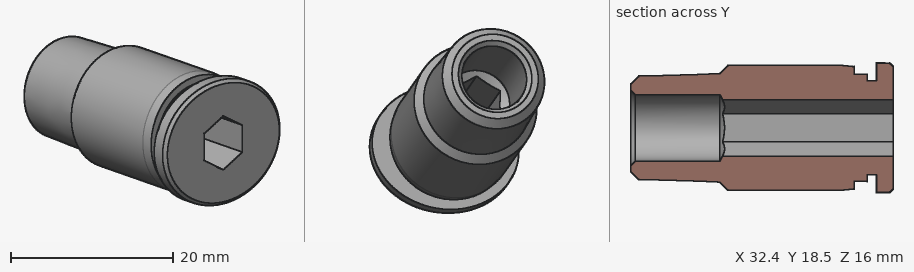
import cadquery as cq

total_length = 32.4
shoulder_x = 10.98
edge_chamfer = 1.0
nose_start_x = 26.1
nose_end_x = 27.6
collar_end_x = 29.2
flange_start_x = 30.33

stem_front_radius = 6.45
stem_rear_radius = 6.75
body_radius = stem_rear_radius + edge_chamfer
nose_radius = 7.58
collar_radius = 6.65
neck_radius = 5.83

flange_width = 18.5
flange_height = 16.0
flange_chamfer = 0.42

bore_radius = 4.08
bore_chamfer = 0.55
bore_depth = shoulder_x
bore_cone_length = 2.27
hex_across_flats = 6.0
HEX_FLATS_TO_CORNERS = 2 / 3**0.5
hex_across_corners = hex_across_flats * HEX_FLATS_TO_CORNERS


def revolve_about_x(points):
    """Revolve a closed (x, radius) outline about the X axis."""
    return cq.Workplane("XY").polyline(points).close().revolve(360, (0, 0, 0), (1, 0, 0))


def make_body():
    """Tapered stem, cylindrical body, tapered nose, collar and neck."""
    return revolve_about_x([
        (0, 0),
        (0, stem_front_radius - edge_chamfer),
        (edge_chamfer, stem_front_radius),
        (shoulder_x, stem_rear_radius),
        (shoulder_x + edge_chamfer, body_radius),
        (nose_start_x, body_radius),
        (nose_end_x, nose_radius),
        (nose_end_x, collar_radius),
        (collar_end_x, collar_radius),
        (collar_end_x, neck_radius),
        (flange_start_x, neck_radius),
        (flange_start_x, 0),
    ])


def make_flange():
    """Elliptical flange, wide along Y, with its rear rim chamfered."""
    return (
        cq.Workplane("YZ", origin=(flange_start_x, 0, 0))
        .ellipse(flange_width / 2, flange_height / 2)
        .extrude(total_length - flange_start_x)
        .faces(">X")
        .chamfer(flange_chamfer)
    )


def make_bore():
    """Blind round bore with a chamfered mouth and a conical bottom."""
    return revolve_about_x([
        (0, 0),
        (0, bore_radius + bore_chamfer),
        (bore_chamfer, bore_radius),
        (bore_depth, bore_radius),
        (bore_depth + bore_cone_length, 0),
    ])


def make_hex_passage():
    """Hexagonal through passage with two corners on the Z axis."""
    return (
        cq.Workplane("YZ")
        .transformed(rotate=(0, 0, 90))
        .polygon(6, hex_across_corners)
        .extrude(total_length)
    )


result = make_body().union(make_flange()).cut(make_bore()).cut(make_hex_passage())